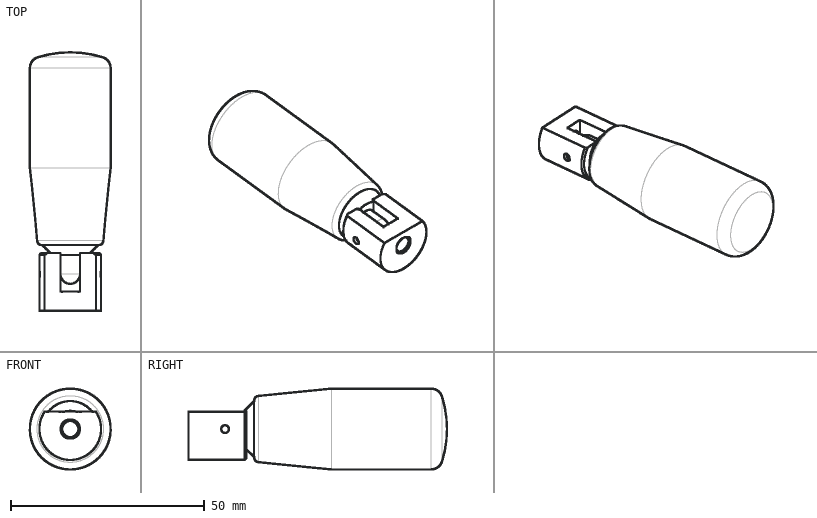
import cadquery as cq
import math


block_radius = 8.0
block_length = 15.0
flat_height = 4.5
block_edge = 0.5
bore_diameter = 4.2
bore_mouth_diameter = 5.0
slot_front = 5.0

pin_radius = 2.5
pin_center = 9.5
neck_front = 14.5
neck_front_radius = 4.75
grip_front = 17.0
grip_front_edge = 1.3
taper_front_radius = 8.5
taper_end = 37.0
grip_radius = 10.5
handle_end = 67.0
dome_radius = 28.0
rear_edge = 3.0
neck_rear_radius = neck_front_radius + (grip_front - neck_front)

pivot_diameter = 2.0
pivot_depth = 1.0

slot_width = 2 * pin_radius
slot_floor = -pin_radius


def revolve_about_y(profile):
    """Turn a profile drawn as (radius, Y) points about the common axis."""
    return profile.close().revolve(360, (0, 0), (0, 1))


def make_neck():
    """Cone whose small end stands inside the hinge block."""
    profile = (
        cq.Workplane("ZY")
        .moveTo(0, neck_front)
        .lineTo(neck_front_radius, neck_front)
        .lineTo(neck_rear_radius, grip_front)
        .lineTo(0, grip_front)
    )
    return revolve_about_y(profile)


def make_pin():
    """Round pin with a spherical tip."""
    tip_offset = pin_radius * math.sqrt(0.5)
    profile = (
        cq.Workplane("ZY")
        .moveTo(0, pin_center - pin_radius)
        .threePointArc((tip_offset, pin_center - tip_offset), (pin_radius, pin_center))
        .lineTo(pin_radius, neck_front)
        .lineTo(0, neck_front)
    )
    return revolve_about_y(profile)


def make_grip():
    """Tapered and straight grip with a rounded front rim and a domed rear end."""
    dome_center = handle_end - dome_radius
    rounding_center_radius = grip_radius - rear_edge
    dome_angle = math.asin(rounding_center_radius / (dome_radius - rear_edge))
    rounding_center = dome_center + (dome_radius - rear_edge) * math.cos(dome_angle)
    dome_rim = (dome_radius * math.sin(dome_angle), dome_center + dome_radius * math.cos(dome_angle))
    dome_middle = (
        dome_radius * math.sin(dome_angle / 2),
        dome_center + dome_radius * math.cos(dome_angle / 2),
    )
    profile = (
        cq.Workplane("ZY")
        .moveTo(0, grip_front)
        .lineTo(taper_front_radius, grip_front)
        .lineTo(grip_radius, taper_end)
        .lineTo(grip_radius, rounding_center)
        .tangentArcPoint(dome_rim, relative=False)
        .threePointArc(dome_middle, (0, handle_end))
    )
    return revolve_about_y(profile).faces("<Y").edges().fillet(grip_front_edge)


def make_handle():
    return make_grip().union(make_neck()).union(make_pin())


def cut_slot(block):
    slot = cq.Workplane("XY").box(
        slot_width, block_length - slot_front, block_radius - slot_floor, centered=(True, False, False)
    )
    return block.cut(slot.translate((0, slot_front, slot_floor)))


def cut_bore(block):
    """Chamfered bore from the front face into the slot."""
    mouth_depth = (bore_mouth_diameter - bore_diameter) / 2
    profile = (
        cq.Workplane("XY")
        .lineTo(bore_mouth_diameter / 2, 0)
        .lineTo(bore_diameter / 2, mouth_depth)
        .lineTo(bore_diameter / 2, slot_front)
        .lineTo(0, slot_front)
    )
    return block.cut(revolve_about_y(profile))


def cut_pivot_sockets(block):
    """Blind round socket in each side, on the axis the handle folds about."""
    for side in (-1, 1):
        socket = (
            cq.Workplane("YZ", origin=(side * block_radius, 0, 0))
            .center(pin_center, 0)
            .circle(pivot_diameter / 2)
            .extrude(-side * pivot_depth)
        )
        block = block.cut(socket)
    return block


def make_hinge_block():
    """Round block with a top flat, slotted for the pin and recessed for the neck cone."""
    block = cq.Workplane("XZ").circle(block_radius).extrude(-block_length)
    block = block.faces(">Y").edges().chamfer(block_edge)
    above_flat = (
        cq.Workplane("XY", origin=(0, 0, flat_height))
        .rect(2 * block_radius, 2 * block_length)
        .extrude(block_radius)
    )
    block = block.cut(above_flat)
    block = cut_slot(block)
    block = cut_bore(block)
    block = cut_pivot_sockets(block)
    return block.cut(make_neck())


hinge_block = make_hinge_block()
handle = make_handle()

result = cq.Compound.makeCompound([hinge_block.val(), handle.val()])